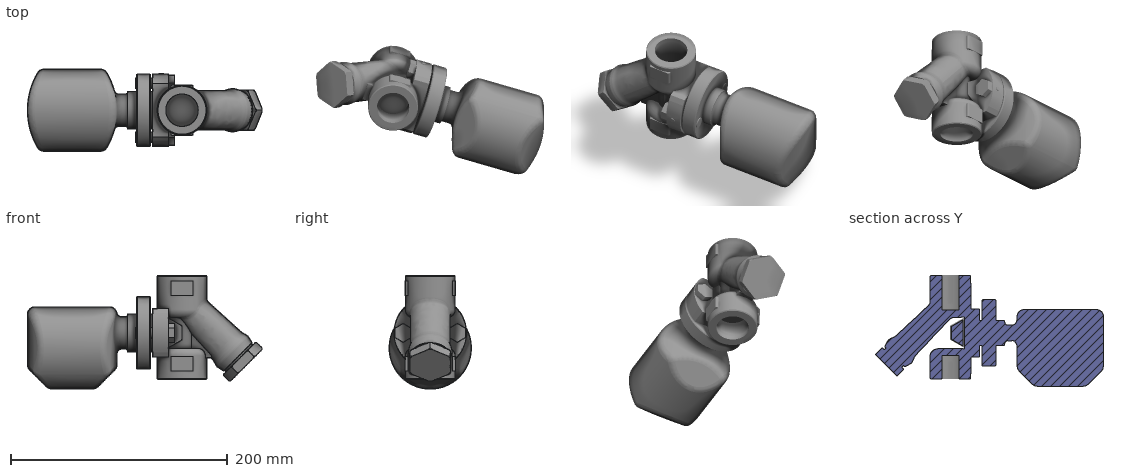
import cadquery as cq
import math


PICK_MARGIN = 1

PIPE_DIA = 46
PIPE_TOP = 53.1
PIPE_BOTTOM = -42.9
PIPE_EDGE = 0.8
COLLAR_END = 21.2
SHOULDER_ROUND = 7
SOCKET_DIA = 30

WAIST_RADIUS = 12
WAIST_HALF_WIDTH = 14
WAIST_ROOT_HALF_HEIGHT = 13.8
WAIST_TIP_HALF_HEIGHT = 6.5
WAIST_SLOPE = 35
WEB_THICKNESS = 16
WEB_CORNER_X = 22
WEB_CORNER_Z = -23
WEB_LEG_X = 27

PAD_WIDTH = 20.4
PAD_HEIGHT = 13.6
PAD_REACH = 23.3
PAD_EDGE = 1.5
UPPER_PAD_Z = 41.2
LOWER_PAD_Z = -28.6

LEG_START_Z = 29.5
LEG_ANGLE = 45
LEG_ROOT_HEIGHT = 16
LEG_ROOT_WIDTH = 18.5
LEG_RADIUS = 18.3
LEG_BODY_START = 8
LEG_BODY_END = 57
LEG_FLARE_RADIUS = 19.5
LEG_FLARE_END = 63
LEG_COLLAR_RADIUS = 20
LEG_COLLAR_START = 65.5
LEG_COLLAR_FLAT_END = 66.5
LEG_COLLAR_END = 73
LEG_COLLAR_TIP_RADIUS = 18.6
LEG_BLEND = 4.5

CAP_START = 75
CAP_END = 84
CAP_FLATS = 37.4
CAP_TIP_RADIUS = 20.6
CAP_BEVEL = 1
CAP_NECK_RADIUS = 17.5

FLANGE_DIA = 67
BODY_FLANGE_LEFT = -27.2
BODY_FLANGE_RIGHT = -12.7
BODY_FLANGE_HALF_HEIGHT = 22.4
BODY_FLANGE_FLAT = 24.8
BODY_FLANGE_CUT_Y = 27.5
BODY_FLANGE_CUT_Z = 19
DISC_LEFT = -42.1
DISC_RIGHT = -29
DISC_EDGE = 0.8
BRIDGE_DIA = 35
BOLT_DIA = 10
BOLT_OFFSET = 25
BOLT_TIP = -42.9
BOLT_HEAD_END = -6.9
BOLT_HEAD_FLATS = 15
PIN_DIA = 4
PIN_X = -19.3
PIN_HEIGHT = 0.6

NECK_DIA = 35
NECK_LEFT = -50.2
STEM_DIA = 30
STEM_ROOT_BLEND = 2
STEM_FLARE = 4

HEAD_DIA = 76
HEAD_LENGTH = 82.8
HEAD_X = -101.4
HEAD_Z = -13.9
HEAD_END_RADIUS = 68
HEAD_CUT_DEPTH = 19.8
HEAD_BLEND = 7


def rod(x_from, x_to, diameter, y=0, z=0):
    """Cylinder along X."""
    return cq.Workplane("YZ", origin=(x_from, y, z)).circle(diameter / 2).extrude(x_to - x_from)


def make_pipe():
    """Turned pipe: two full-diameter ends with rounded shoulders and a thin waist between them."""
    r = PIPE_DIA / 2
    ledge = COLLAR_END - SHOULDER_ROUND
    profile = (
        cq.Workplane("XZ")
        .moveTo(0, PIPE_BOTTOM)
        .lineTo(r - PIPE_EDGE, PIPE_BOTTOM)
        .lineTo(r, PIPE_BOTTOM + PIPE_EDGE)
        .lineTo(r, -COLLAR_END)
        .radiusArc((r - SHOULDER_ROUND, -ledge), -SHOULDER_ROUND)
        .lineTo(WAIST_RADIUS, -ledge)
        .lineTo(WAIST_RADIUS, ledge)
        .lineTo(r - SHOULDER_ROUND, ledge)
        .radiusArc((r, COLLAR_END), -SHOULDER_ROUND)
        .lineTo(r, PIPE_TOP - PIPE_EDGE)
        .lineTo(r - PIPE_EDGE, PIPE_TOP)
        .lineTo(0, PIPE_TOP)
        .close()
    )
    return profile.revolve(360, (0, 0), (0, 1))


def make_waist():
    """Flat-faced block between the pipe ends with sloping sides, and a web down to the leg."""
    flat = [
        (BODY_FLANGE_RIGHT, WAIST_ROOT_HALF_HEIGHT),
        (0, WAIST_TIP_HALF_HEIGHT),
        (0, -WAIST_TIP_HALF_HEIGHT),
        (BODY_FLANGE_RIGHT, -WAIST_ROOT_HALF_HEIGHT),
    ]
    front = (
        cq.Workplane("XZ", origin=(0, -WAIST_HALF_WIDTH, 0))
        .polyline(flat)
        .close()
        .extrude(-WAIST_HALF_WIDTH, taper=WAIST_SLOPE)
    )
    web = (
        cq.Workplane("XZ", origin=(0, WEB_THICKNESS / 2, 0))
        .polyline([
            (0, -COLLAR_END),
            (WEB_CORNER_X, WEB_CORNER_Z),
            (WEB_LEG_X, WEB_CORNER_Z),
            (WEB_LEG_X, 0),
            (0, COLLAR_END),
        ])
        .close()
        .extrude(WEB_THICKNESS)
    )
    return front.union(front.mirror("XZ")).union(web)


def make_leg():
    """Leg built along Z: an oval root becoming round, then a flared collar and a short neck."""
    root = (
        cq.Workplane("XY", origin=(0, 0, LEG_BODY_START))
        .ellipse(LEG_ROOT_HEIGHT, LEG_ROOT_WIDTH)
        .workplane(offset=LEG_BODY_END - LEG_BODY_START)
        .circle(LEG_RADIUS)
        .loft()
    )
    flare_rise = LEG_FLARE_RADIUS - LEG_RADIUS
    flare_length = LEG_FLARE_END - LEG_BODY_END
    flare_bend = (flare_length**2 + flare_rise**2) / (2 * flare_rise)
    collar = (
        cq.Workplane("XZ")
        .moveTo(0, LEG_BODY_END)
        .lineTo(LEG_RADIUS, LEG_BODY_END)
        .radiusArc((LEG_FLARE_RADIUS, LEG_FLARE_END), flare_bend)
        .lineTo(LEG_COLLAR_RADIUS, LEG_COLLAR_START)
        .lineTo(LEG_COLLAR_RADIUS, LEG_COLLAR_FLAT_END)
        .lineTo(LEG_COLLAR_TIP_RADIUS, LEG_COLLAR_END)
        .lineTo(CAP_NECK_RADIUS, LEG_COLLAR_END)
        .lineTo(CAP_NECK_RADIUS, CAP_START)
        .lineTo(0, CAP_START)
        .close()
        .revolve(360, (0, 0), (0, 1))
    )
    return root.union(collar)


def make_cap():
    """Hexagonal cap with its corners turned down at both faces."""
    corner_radius = CAP_FLATS / math.sqrt(3)
    hexagon = (
        cq.Workplane("XY", origin=(0, 0, CAP_START))
        .polygon(6, 2 * corner_radius)
        .extrude(CAP_END - CAP_START)
    )
    profile = [
        (0, CAP_START),
        (CAP_TIP_RADIUS, CAP_START),
        (corner_radius, CAP_START + CAP_BEVEL),
        (corner_radius, CAP_END - CAP_BEVEL),
        (CAP_TIP_RADIUS, CAP_END),
        (0, CAP_END),
    ]
    return hexagon.intersect(cq.Workplane("XZ").polyline(profile).close().revolve(360, (0, 0), (0, 1)))


def onto_leg_axis(shape):
    """Tilt a shape built along Z onto the sloping leg axis."""
    return shape.rotate((0, 0, 0), (0, 1, 0), 90 + LEG_ANGLE).translate((0, 0, LEG_START_Z))


def make_pads():
    """Flat pads through both pipe ends, standing proud at the front and back."""
    pads = cq.Workplane("XY")
    for z in (UPPER_PAD_Z, LOWER_PAD_Z):
        pad = (
            cq.Workplane("XY")
            .box(PAD_WIDTH, 2 * PAD_REACH, PAD_HEIGHT)
            .edges("|Z")
            .fillet(PAD_EDGE)
            .translate((0, 0, z))
        )
        pads = pads.add(pad)
    return pads.combine()


def make_sockets():
    """Blind bores reaching from each pipe end to its shoulder."""
    r = SOCKET_DIA / 2
    upper = cq.Workplane("XY", origin=(0, 0, COLLAR_END)).circle(r).extrude(PIPE_TOP - COLLAR_END)
    lower = cq.Workplane("XY", origin=(0, 0, -COLLAR_END)).circle(r).extrude(PIPE_BOTTOM + COLLAR_END)
    return upper.union(lower)


def make_body_flange():
    """Round flange cut flat at the top and bottom, with its locating pin."""
    r = FLANGE_DIA / 2
    h = BODY_FLANGE_HALF_HEIGHT
    cut_slope = (h - BODY_FLANGE_CUT_Z) / (BODY_FLANGE_CUT_Y - BODY_FLANGE_FLAT)
    side_z = h - cut_slope * (r - BODY_FLANGE_FLAT)
    outline = [
        (-BODY_FLANGE_FLAT, h),
        (BODY_FLANGE_FLAT, h),
        (r, side_z),
        (r, -side_z),
        (BODY_FLANGE_FLAT, -h),
        (-BODY_FLANGE_FLAT, -h),
        (-r, -side_z),
        (-r, side_z),
    ]
    slab = (
        cq.Workplane("YZ", origin=(BODY_FLANGE_LEFT, 0, 0))
        .polyline(outline)
        .close()
        .extrude(BODY_FLANGE_RIGHT - BODY_FLANGE_LEFT)
    )
    flange = rod(BODY_FLANGE_LEFT, BODY_FLANGE_RIGHT, FLANGE_DIA).intersect(slab)
    pin = (
        cq.Workplane("XZ", origin=(PIN_X, 0, 0))
        .circle(PIN_DIA / 2)
        .extrude(-(FLANGE_DIA / 2 + PIN_HEIGHT))
    )
    return flange.union(pin)


def make_bolts():
    """Two hexagon bolts clamping the flanges, one on each side of the pipe."""
    bolts = cq.Workplane("XY")
    for y in (-BOLT_OFFSET, BOLT_OFFSET):
        head = (
            cq.Workplane("YZ", origin=(BODY_FLANGE_RIGHT, y, 0))
            .transformed(rotate=(0, 0, 90))
            .polygon(6, 2 * BOLT_HEAD_FLATS / math.sqrt(3))
            .extrude(BOLT_HEAD_END - BODY_FLANGE_RIGHT)
        )
        bolts = bolts.add(head.union(rod(BOLT_TIP, BODY_FLANGE_RIGHT, BOLT_DIA, y=y)))
    return bolts.combine()


def make_neck():
    """Round disc with a bridge to the body flange and a collar towards the head."""
    disc = rod(DISC_LEFT, DISC_RIGHT, FLANGE_DIA).edges().chamfer(DISC_EDGE)
    bridge = rod(DISC_RIGHT, BODY_FLANGE_LEFT, BRIDGE_DIA)
    collar = rod(NECK_LEFT, DISC_LEFT, NECK_DIA)
    return disc.union(bridge).union(collar)


def make_stem():
    """Stem with a concave blend into the neck collar."""
    r = STEM_DIA / 2
    return (
        cq.Workplane("XY")
        .moveTo(HEAD_X, 0)
        .lineTo(HEAD_X, r)
        .lineTo(NECK_LEFT - STEM_ROOT_BLEND, r)
        .radiusArc((NECK_LEFT, r + STEM_ROOT_BLEND), -STEM_ROOT_BLEND)
        .lineTo(NECK_LEFT, 0)
        .close()
        .revolve(360, (0, 0, 0), (1, 0, 0))
    )


def make_head():
    """Horizontal drum with bulged ends and sloping cuts below, all edges blended."""
    half = HEAD_LENGTH / 2
    r = HEAD_DIA / 2
    end_x = half - HEAD_END_RADIUS + math.sqrt(HEAD_END_RADIUS**2 - r**2)
    plan = (
        cq.Workplane("XY", origin=(0, 0, -r))
        .moveTo(-end_x, -r)
        .lineTo(end_x, -r)
        .threePointArc((half, 0), (end_x, r))
        .lineTo(-end_x, r)
        .threePointArc((-half, 0), (-end_x, -r))
        .close()
        .extrude(HEAD_DIA)
    )
    side = (
        cq.Workplane("XZ", origin=(0, r, 0))
        .polyline([
            (-half, r),
            (half, r),
            (half, HEAD_CUT_DEPTH - r),
            (half - HEAD_CUT_DEPTH, -r),
            (HEAD_CUT_DEPTH - half, -r),
            (-half, HEAD_CUT_DEPTH - r),
        ])
        .close()
        .extrude(HEAD_DIA)
    )
    drum = rod(-half, half, HEAD_DIA).intersect(plan).intersect(side)
    return drum.edges().fillet(HEAD_BLEND).translate((HEAD_X, 0, HEAD_Z))


def head_with_stem():
    """Head and stem joined by a flared blend."""
    joined = make_head().union(make_stem())
    right_end = HEAD_X + HEAD_LENGTH / 2
    reach = STEM_DIA / 2 + PICK_MARGIN
    joint = cq.selectors.BoxSelector(
        (right_end - STEM_FLARE, -reach, -reach),
        (right_end + PICK_MARGIN, reach, reach),
        boundingbox=True,
    )
    return joined.edges(joint).fillet(STEM_FLARE)


def body_casting():
    """Pipe, waist and leg, with a blend where the top of the leg leaves the upper pipe end."""
    joined = make_pipe().union(onto_leg_axis(make_leg()))
    r = PIPE_DIA / 2
    joint = cq.selectors.BoxSelector(
        (0, -r, COLLAR_END - SHOULDER_ROUND - PICK_MARGIN),
        (r + PICK_MARGIN, r, LEG_START_Z + PICK_MARGIN),
        boundingbox=True,
    )
    return joined.edges(joint).fillet(LEG_BLEND).union(make_waist())


result = (
    body_casting()
    .union(onto_leg_axis(make_cap()))
    .union(make_pads())
    .union(make_body_flange())
    .union(make_bolts())
    .union(make_neck())
    .union(head_with_stem())
    .cut(make_sockets())
)